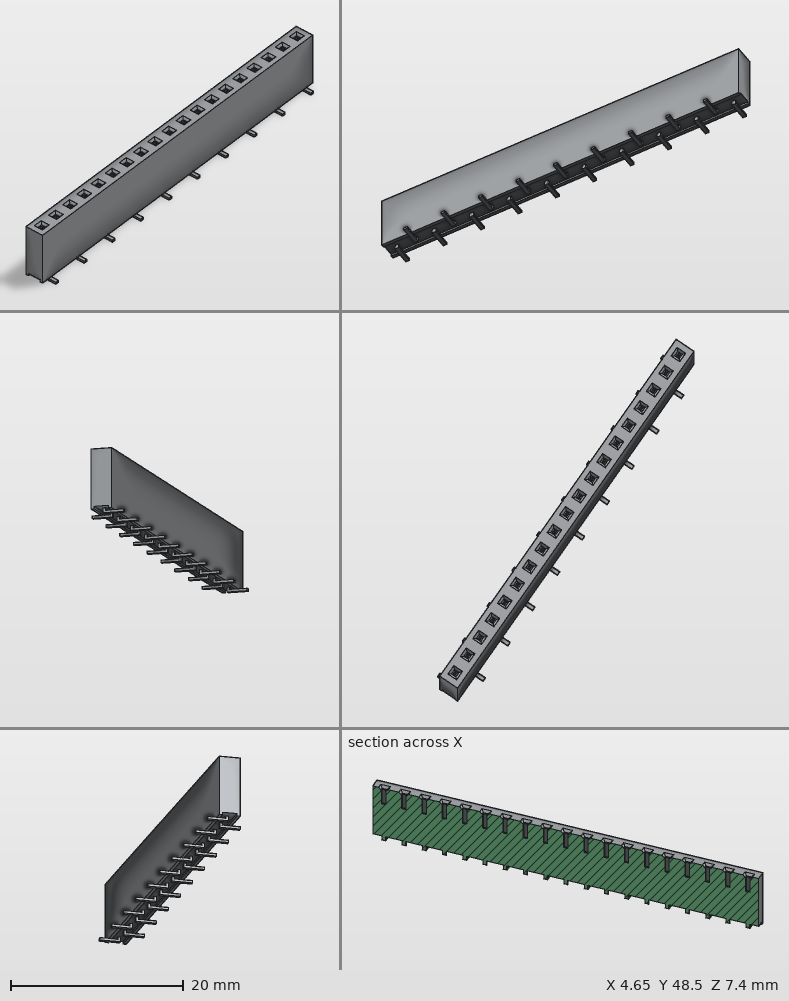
import cadquery as cq

length = 48.45
body_width = 2.5
overall_height = 7.4
channel_width = 1.75
channel_depth = 0.3

contact_count = 19
end_margin = 1.35
pitch = (length - 2 * end_margin) / (contact_count - 1)
pin_thickness = 0.3
pin_width = 0.5
foot_span = 4.65

funnel_mouth = 1.2
funnel_floor = 0.65
funnel_depth = (funnel_mouth - funnel_floor) / 2
bore_depth = 1.95

body_bottom = pin_thickness
body_top = overall_height
body_height = body_top - body_bottom


def contact_position(index):
    """Y of a contact, counted from the -Y end."""
    return -length / 2 + end_margin + index * pitch


def make_housing():
    block = cq.Workplane("XY").box(body_width, length, body_height, centered=(True, True, False))
    channel = cq.Workplane("XY").box(channel_width, length, channel_depth, centered=(True, True, False))
    return block.cut(channel).translate((0, 0, body_bottom))


def make_socket(y):
    funnel = (
        cq.Workplane("XY", origin=(0, y, body_top))
        .rect(funnel_mouth, funnel_mouth)
        .workplane(offset=-funnel_depth)
        .rect(funnel_floor, funnel_floor)
        .loft(ruled=True)
    )
    bore = (
        cq.Workplane("XY", origin=(0, y, body_top - funnel_depth))
        .rect(pin_thickness, pin_width)
        .extrude(-bore_depth)
    )
    return funnel.union(bore)


def make_pin(y, side):
    """Pin with its stem on the centreline and its foot reaching to side (+1 or -1)."""
    stem_half = pin_thickness / 2
    stem_top = body_bottom + channel_depth
    return (
        cq.Workplane("XZ", origin=(0, y + pin_width / 2, 0))
        .moveTo(-side * stem_half, 0)
        .lineTo(side * foot_span / 2, 0)
        .lineTo(side * foot_span / 2, pin_thickness)
        .lineTo(side * stem_half, pin_thickness)
        .lineTo(side * stem_half, stem_top)
        .lineTo(-side * stem_half, stem_top)
        .close()
        .extrude(pin_width)
    )


result = make_housing()
for index in range(contact_count):
    y = contact_position(index)
    side = 1 if index % 2 == 0 else -1
    result = result.cut(make_socket(y)).union(make_pin(y, side))